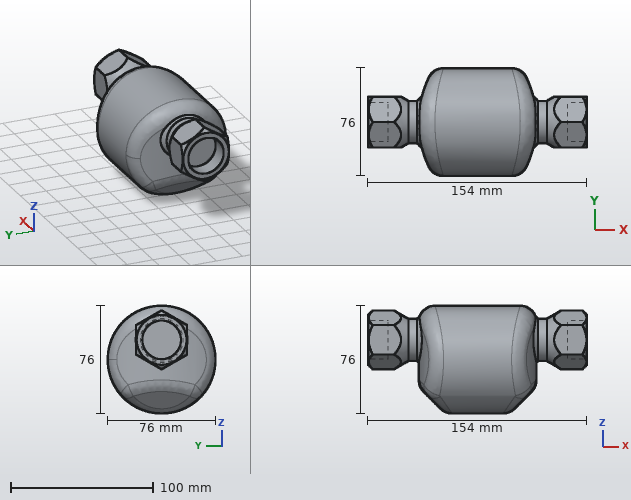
import cadquery as cq
import math

overall_length = 154.0
body_diameter = 76.0
body_length = 83.2
end_bulge_radius = 72.4
rim_fillet = 11.5
ramp_top = -19.1
port_height = 13.9
hex_flats = 35.9
hex_end_diameter = 35.1
hex_length = 18.3
hex_back_angle = 30.0
neck_diameter = 30.0
neck_end = 34.5
flare_overlap = 4.6
bore_diameter = 27.3
bore_depth = 13.9

body_radius = body_diameter / 2
half_body = body_length / 2
half_length = overall_length / 2
hex_corner_radius = hex_flats / math.sqrt(3)
neck_radius = neck_diameter / 2


def bulged_cylinder():
    """Cylinder along X, with both ends curved about vertical axes."""
    cylinder = cq.Workplane("YZ").circle(body_radius).extrude(half_body, both=True)
    sag = end_bulge_radius - math.sqrt(end_bulge_radius**2 - body_radius**2)
    shoulder = half_body - sag
    envelope = (
        cq.Workplane("XY")
        .moveTo(-shoulder, -body_radius)
        .lineTo(shoulder, -body_radius)
        .threePointArc((half_body, 0), (shoulder, body_radius))
        .lineTo(-shoulder, body_radius)
        .threePointArc((-half_body, 0), (-shoulder, -body_radius))
        .close()
        .extrude(body_radius, both=True)
    )
    return cylinder.intersect(envelope)


def ramp_cutter(side):
    """Wedge below the 45 degree ramp at one end of the body."""
    drop = body_diameter
    return (
        cq.Workplane("XZ")
        .moveTo(side * half_body, ramp_top)
        .lineTo(side * (half_body - drop), ramp_top - drop)
        .lineTo(side * (half_body + drop), ramp_top - drop)
        .lineTo(side * (half_body + drop), ramp_top + drop)
        .close()
        .extrude(body_radius, both=True)
    )


def make_body():
    body = bulged_cylinder()
    for side in (-1, 1):
        body = body.cut(ramp_cutter(side))
    return body.edges("not |X").fillet(rim_fillet)


def make_port():
    """Hexagonal port with bore, neck and flare, at the -X end."""
    back_cone_length = (hex_corner_radius - neck_radius) / math.tan(math.radians(hex_back_angle))
    end_chamfer = hex_corner_radius - hex_end_diameter / 2
    neck_start = hex_length + back_cone_length
    flare = half_length + flare_overlap - half_body - neck_end
    turned = (
        cq.Workplane("XY")
        .lineTo(0, hex_end_diameter / 2)
        .lineTo(end_chamfer, hex_corner_radius)
        .lineTo(hex_length, hex_corner_radius)
        .lineTo(neck_start, neck_radius)
        .lineTo(neck_end, neck_radius)
        .lineTo(neck_end + flare, neck_radius + flare)
        .lineTo(neck_end + flare, 0)
        .close()
        .revolve(360, (0, 0, 0), (1, 0, 0))
    )
    hexagon = cq.Workplane("YZ").polygon(6, 2 * hex_corner_radius).extrude(neck_end)
    hexagon = hexagon.rotate((0, 0, 0), (1, 0, 0), 30)
    round_part = cq.Workplane("YZ", origin=(neck_start, 0, 0)).circle(body_radius).extrude(half_body)
    port = turned.intersect(hexagon.union(round_part))
    bore = cq.Workplane("YZ").circle(bore_diameter / 2).extrude(bore_depth)
    return port.cut(bore).translate((-half_length, 0, port_height))


port = make_port()
result = make_body().union(port).union(port.mirror("YZ"))